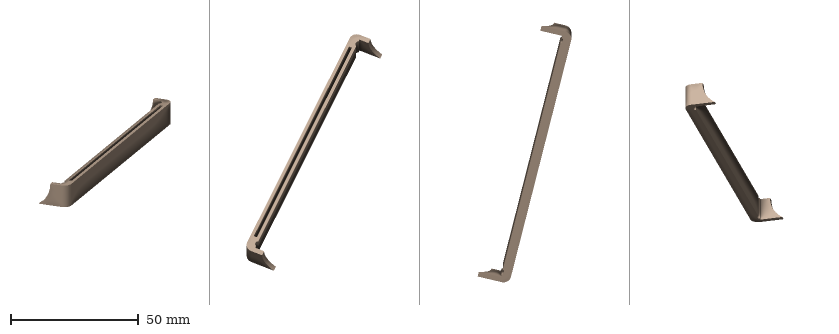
import cadquery as cq
import math

length = 105.0
depth = 12.7
height = 9.0

bar_thickness = 3.8
arm_thickness = 2.0
corner_radius = 3.0
arm_top_setback = 5.0

slot_width = 1.3
slot_length = 92.0
slot_depth = 7.8

groove_width = 2.2
groove_depth = 0.7
groove_from_end = 4.0

bar_inner_x = depth - bar_thickness
bar_middle_x = depth - bar_thickness / 2


def bracket_body():
    """U-shaped bracket with its two outer corners rounded."""
    block = cq.Workplane("XY").box(depth, length, height, centered=(False, True, False))
    block = block.edges("|Z and >X").fillet(corner_radius)
    opening = cq.Workplane("XY").box(
        bar_inner_x, length - 2 * arm_thickness, height, centered=(False, True, False)
    )
    return block.cut(opening)


def arm_tip_cutter():
    """Concave sweep of the arm tips: an arc that is vertical at the top face."""
    radius = (arm_top_setback**2 + height**2) / (2 * arm_top_setback)
    center_x = arm_top_setback - radius
    middle_angle = math.asin(height / radius) / 2
    arc_middle = (
        center_x + radius * math.cos(middle_angle),
        height - radius * math.sin(middle_angle),
    )
    return (
        cq.Workplane("XZ")
        .moveTo(0, 0)
        .threePointArc(arc_middle, (arm_top_setback, height))
        .lineTo(0, height)
        .close()
        .extrude(length / 2, both=True)
    )


def groove_cutter(side):
    """Round vertical groove near the end of the bar on the given Y side."""
    radius = ((groove_width / 2) ** 2 + groove_depth**2) / (2 * groove_depth)
    center_x = bar_inner_x + groove_depth - radius
    center_y = side * (length / 2 - groove_from_end)
    return cq.Workplane("XY").center(center_x, center_y).circle(radius).extrude(height)


def slot_cutter():
    """Long narrow slot, open at the top and closed at the bottom."""
    return (
        cq.Workplane("XY", origin=(bar_middle_x, 0, height))
        .rect(slot_width, slot_length)
        .extrude(-slot_depth)
    )


result = bracket_body().cut(arm_tip_cutter()).cut(slot_cutter())
for side in (-1, 1):
    result = result.cut(groove_cutter(side))